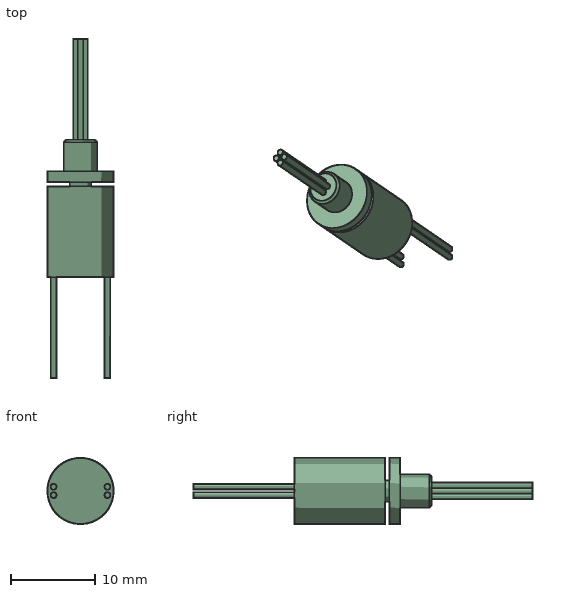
import cadquery as cq

body_diameter = 7.9
body_length = 10.8
neck_diameter = 2.6
neck_length = 0.5
flange_thickness = 1.3
boss_diameter = 4.0
boss_length = 3.75
boss_chamfer = 0.3

pin_diameter = 0.7
pin_length = 12.0
pin_offset_x = 3.2
pin_offset_z = 0.5

wire_diameter = 0.7
wire_length = 12.0
wire_offset_x = 0.53
wire_offset_z = 0.66

total_length = pin_length + body_length + neck_length + flange_thickness + boss_length + wire_length
pin_tip_y = -total_length / 2
body_front_y = pin_tip_y + pin_length
neck_front_y = body_front_y + body_length
flange_front_y = neck_front_y + neck_length
boss_front_y = flange_front_y + flange_thickness
wire_root_y = boss_front_y + boss_length


def rods(diameter, start_y, length, centres):
    """Round rods running toward +Y from start_y, at the given (x, z) centres."""
    plane = cq.Plane(origin=(0, start_y, 0), xDir=(0, 0, 1), normal=(0, 1, 0))
    points = [(z, x) for x, z in centres]
    return cq.Workplane(plane).pushPoints(points).circle(diameter / 2).extrude(length)


def disc(diameter, start_y, length):
    """Single rod on the Y axis."""
    return rods(diameter, start_y, length, [(0, 0)])


def rectangle_corners(offset_x, offset_z):
    return [(side_x * offset_x, side_z * offset_z) for side_x in (-1, 1) for side_z in (-1, 1)]


def make_turned_body():
    barrel = disc(body_diameter, body_front_y, body_length)
    neck = disc(neck_diameter, neck_front_y, neck_length)
    flange = disc(body_diameter, flange_front_y, flange_thickness)
    boss = disc(boss_diameter, boss_front_y, boss_length).faces(">Y").chamfer(boss_chamfer)
    return barrel.union(neck).union(flange).union(boss)


def make_pins():
    return rods(pin_diameter, pin_tip_y, pin_length, rectangle_corners(pin_offset_x, pin_offset_z))


def make_wires():
    centres = [(-wire_offset_x, 0), (wire_offset_x, 0), (0, -wire_offset_z), (0, wire_offset_z)]
    return rods(wire_diameter, wire_root_y, wire_length, centres)


result = make_turned_body().union(make_pins()).union(make_wires())